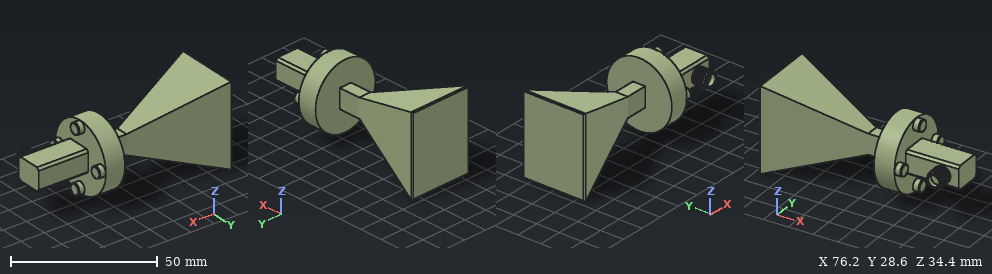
import cadquery as cq
rim_depth = 0.6
throat_start = 37.2
flange_start = 46.6
flange_thickness = 8.2
flange_end = flange_start + flange_thickness
total_length = 76.2

mouth_width = 27.2
mouth_height = 34.4
rim_inset_y = 0.5
rim_inset_z = 0.3
guide_width = 5.3
guide_height = 8.3

flange_diameter = 28.6
screw_count = 4
screw_circle_radius = 11.8
screw_head_diameter = 4.65
screw_head_height = 2.7
screw_chamfer_length = 0.45
screw_chamfer_radial = 0.15

block_width = 11.4
block_height = 9.45
block_center_y = -1.3
block_chamfer = 1.0
block_front_y = block_center_y - block_width / 2

connector_x = 69.8
thread_diameter = 6.55
thread_length = 5.25
thread_pitch = 0.71
thread_depth = 0.4
thread_crest = 0.09
first_groove = 0.3
tip_diameter = 5.5
tip_length = 0.7
bore_diameter = 4.4
bore_depth = 2.0
connector_embed = 0.4
barrel_seam_angle = 20.0
connector_length = thread_length + tip_length


def yz_box(start, length, width, height, center_y=0.0):
    """Rectangular bar along X."""
    section = cq.Workplane("YZ", origin=(start, center_y, 0)).rect(width, height)
    return section.extrude(length)


def yz_loft(start, length, near_size, far_size):
    """Rectangular taper along X between two (width, height) sections."""
    near = cq.Workplane("YZ", origin=(start, 0, 0)).rect(*near_size)
    return near.workplane(offset=length).rect(*far_size).loft(ruled=True)


def make_horn():
    face_size = (mouth_width - 2 * rim_inset_y, mouth_height - 2 * rim_inset_z)
    mouth_size = (mouth_width, mouth_height)
    guide_size = (guide_width, guide_height)
    rim = yz_loft(0, rim_depth, face_size, mouth_size)
    flare = yz_loft(rim_depth, throat_start - rim_depth, mouth_size, guide_size)
    guide = yz_box(throat_start, flange_start - throat_start, *guide_size)
    return rim.union(flare).union(guide)


def make_flange():
    disc = cq.Workplane("YZ", origin=(flange_start, 0, 0)).circle(flange_diameter / 2)
    return disc.extrude(flange_thickness)


def make_screw_heads():
    heads = (
        cq.Workplane("YZ", origin=(flange_end, 0, 0))
        .polarArray(screw_circle_radius, 0, 360, screw_count)
        .circle(screw_head_diameter / 2)
        .extrude(screw_head_height)
    )
    return heads.faces(">X").chamfer(screw_chamfer_length, screw_chamfer_radial)


def make_block():
    block = yz_box(flange_end, total_length - flange_end, block_width, block_height, block_center_y)
    return block.edges("|X").chamfer(block_chamfer)


def make_thread_groove():
    """Right-handed helical V groove around Z that runs out past both ends of the thread."""
    thread_radius = thread_diameter / 2
    root_radius = thread_radius - thread_depth
    overshoot = 0.03
    half_mouth = (thread_pitch - thread_crest) / 2
    half_mouth_outside = half_mouth * (1 + overshoot / thread_depth)
    runout = 2 * thread_pitch
    start_z = first_groove - runout
    helix_height = thread_length + runout + thread_pitch
    path = cq.Wire.makeHelix(thread_pitch, helix_height, thread_radius)
    section = cq.Workplane("XZ").polyline(
        [
            (root_radius, 0),
            (thread_radius + overshoot, half_mouth_outside),
            (thread_radius + overshoot, -half_mouth_outside),
        ]
    ).close()
    groove = section.sweep(cq.Workplane(path), isFrenet=True)
    return groove.rotate((0, 0, 0), (0, 0, 1), 180).translate((0, 0, start_z))


def make_thread_envelope():
    """Solid of revolution around Z with the 45 degree chamfer of the thread's outer end."""
    base_z = -2 * connector_embed
    outer_radius = thread_diameter
    tip_radius = tip_diameter / 2
    outline = cq.Workplane("XZ").polyline(
        [
            (0, base_z),
            (outer_radius, base_z),
            (outer_radius, thread_length - (outer_radius - tip_radius)),
            (tip_radius, thread_length),
            (0, thread_length),
        ]
    ).close()
    return outline.revolve(360, (0, 0, 0), (0, 1, 0))


def make_connector():
    """Connector built along Z, then laid over so that it points to -Y."""
    barrel = (
        cq.Workplane("XY", origin=(0, 0, -connector_embed))
        .circle(thread_diameter / 2)
        .extrude(thread_length + connector_embed)
        .rotate((0, 0, 0), (0, 0, 1), barrel_seam_angle)
        .cut(make_thread_groove())
        .intersect(make_thread_envelope())
    )
    tip = cq.Workplane("XY").circle(tip_diameter / 2).extrude(connector_length)
    connector = barrel.union(tip).rotate((0, 0, 0), (1, 0, 0), 90)
    return connector.translate((connector_x, block_front_y, 0))


def make_bore():
    """Blind bore entering from the free end of the connector."""
    floor_y = block_front_y - connector_length + bore_depth
    opening = cq.Workplane("XZ", origin=(connector_x, floor_y, 0)).circle(bore_diameter / 2)
    return opening.extrude(bore_depth)


result = (
    make_horn()
    .union(make_flange())
    .union(make_screw_heads())
    .union(make_block())
    .union(make_connector())
    .cut(make_bore())
)